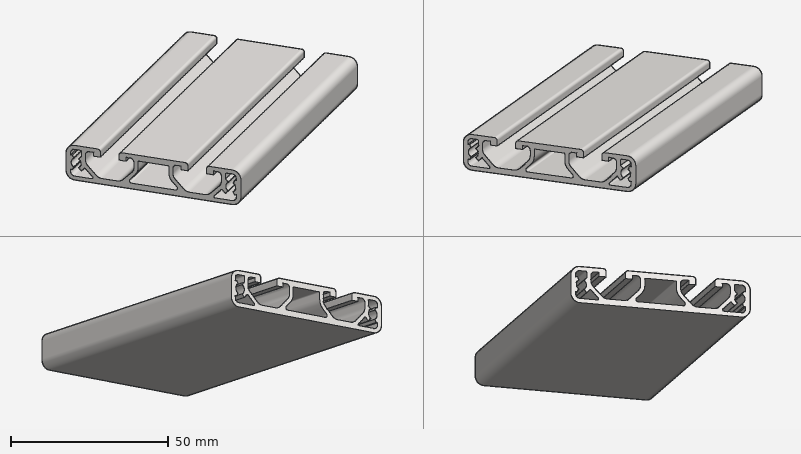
import cadquery as cq
import math

WIDTH = 60.0
LENGTH = 100.0
HEIGHT = 12.0
OUTER_RADIUS = 3.0

SKIN = 1.4
THICK_SKIN = 2.0
SIDE_WALL = 1.6

SLOT_CENTER = 15.0
SLOT_HALF_WIDTH = 8.3
SLOT_HALF_OPENING = 3.2
SLOT_HALF_FLOOR = 3.8
LIP_WIDTH = 2.4
LIP_HEIGHT = 2.7
LIP_RADIUS = 1.0
SLOT_ROOF_RADIUS = 1.3
SLOT_FLOOR_RADIUS = 3.0
SLOT_SIDE_RADIUS = 2.5

MIDDLE_TOE_RADIUS = 0.7
MIDDLE_SIDE_RADIUS = SLOT_SIDE_RADIUS + SKIN
MIDDLE_TOP_RADIUS = 0.3

PORT_X = 26.5
PORT_Z = HEIGHT / 2
PORT_RADIUS = 1.7
NECK_HALF_WIDTH = 0.8
OUTER_TOOTH_RUN = 0.5
CLAW_LENGTH = 1.0
CLAW_WIDTH = 0.9
NOTCH_STEP = 0.3
NOTCH_RADIUS = 0.2
CHAMBER_CORNER_RADIUS = OUTER_RADIUS - SIDE_WALL
CHAMBER_TOE_RADIUS = 0.4
CHAMBER_TOP_RADIUS = 0.5

ROOF_Z = HEIGHT - SKIN
SLOPE_RUN = SKIN * math.sqrt(2)


def profile_plane(x=0, z=0):
    """XZ sketch plane at the +Y end; extruding runs toward -Y."""
    return cq.Workplane("XZ", origin=(x, LENGTH / 2, z))


def prism(points):
    """Full-length prism over a polygon of (x, z) points."""
    return profile_plane().polyline(points).close().extrude(LENGTH)


def round_edges(body, corners):
    """Fillet the lengthwise edges at (x, z, radius) corners."""
    for x, z, radius in corners:
        body = body.edges(cq.selectors.NearestToPointSelector((x, 0, z))).fillet(radius)
    return body


def with_mirror(body):
    """The body together with its mirror image across the YZ plane."""
    return body.union(body.mirror("YZ"))


def outer_block():
    block = cq.Workplane("XY").box(WIDTH, LENGTH, HEIGHT, centered=(True, True, False))
    return block.edges("|Y").fillet(OUTER_RADIUS)


def slot():
    """Undercut slot at +X, symmetric about its own center plane."""
    lip_bottom = HEIGHT - LIP_HEIGHT
    lip_back = SLOT_HALF_OPENING + LIP_WIDTH
    flank_top = THICK_SKIN + SLOT_HALF_WIDTH - SLOT_HALF_FLOOR
    half = prism([
        (0, THICK_SKIN),
        (SLOT_HALF_FLOOR, THICK_SKIN),
        (SLOT_HALF_WIDTH, flank_top),
        (SLOT_HALF_WIDTH, ROOF_Z),
        (lip_back, ROOF_Z),
        (lip_back, lip_bottom),
        (SLOT_HALF_OPENING, lip_bottom),
        (SLOT_HALF_OPENING, HEIGHT),
        (0, HEIGHT),
    ])
    half = round_edges(half, [
        (SLOT_HALF_FLOOR, THICK_SKIN, SLOT_FLOOR_RADIUS),
        (SLOT_HALF_WIDTH, flank_top, SLOT_SIDE_RADIUS),
        (SLOT_HALF_WIDTH, ROOF_Z, SLOT_ROOF_RADIUS),
    ])
    return with_mirror(half).translate((SLOT_CENTER, 0, 0))


def round_lips(body):
    """Round the upper edge of every slot lip."""
    return round_edges(body, [
        (center + offset, HEIGHT, LIP_RADIUS)
        for center in (-SLOT_CENTER, SLOT_CENTER)
        for offset in (-SLOT_HALF_OPENING, SLOT_HALF_OPENING)
    ])


def middle_chamber():
    """Chamber between the slots, its sides parallel to the slot walls."""
    top_z = HEIGHT - THICK_SKIN
    toe_x = SLOT_CENTER - SLOT_HALF_FLOOR - SLOPE_RUN
    side_x = SLOT_CENTER - SLOT_HALF_WIDTH - SKIN
    shoulder_z = THICK_SKIN + toe_x - side_x
    half = prism([
        (0, THICK_SKIN),
        (toe_x, THICK_SKIN),
        (side_x, shoulder_z),
        (side_x, top_z),
        (0, top_z),
    ])
    half = round_edges(half, [
        (toe_x, THICK_SKIN, MIDDLE_TOE_RADIUS),
        (side_x, shoulder_z, MIDDLE_SIDE_RADIUS),
        (side_x, top_z, MIDDLE_TOP_RADIUS),
    ])
    return with_mirror(half)


def edge_chamber():
    """Upper and lower chamber joined through the screw port, at the +X edge."""
    outer_x = WIDTH / 2 - SIDE_WALL
    inner_x = SLOT_CENTER + SLOT_HALF_WIDTH + SKIN
    neck_rise = math.sqrt(PORT_RADIUS**2 - NECK_HALF_WIDTH**2)
    neck_outer = PORT_X + NECK_HALF_WIDTH
    neck_inner = PORT_X - NECK_HALF_WIDTH
    ledge_rise = neck_rise + neck_inner - inner_x

    upper = prism([
        (neck_outer, PORT_Z),
        (neck_outer, PORT_Z + neck_rise),
        (neck_outer + OUTER_TOOTH_RUN, PORT_Z + ledge_rise),
        (outer_x, PORT_Z + ledge_rise),
        (outer_x, ROOF_Z),
        (inner_x, ROOF_Z),
        (inner_x, PORT_Z + ledge_rise),
        (neck_inner, PORT_Z + neck_rise),
        (neck_inner, PORT_Z),
    ])
    upper = round_edges(upper, [
        (outer_x, ROOF_Z, CHAMBER_CORNER_RADIUS),
        (inner_x, ROOF_Z, CHAMBER_TOP_RADIUS),
    ])

    slope_foot = SLOT_CENTER + SLOT_HALF_FLOOR + SLOPE_RUN
    toe_x = slope_foot - (THICK_SKIN - SKIN)
    claw_tip_x = neck_inner - CLAW_LENGTH
    claw_tip_z = PORT_Z - neck_rise - CLAW_LENGTH
    claw_root_x = claw_tip_x - CLAW_WIDTH
    claw_root_z = claw_tip_z + CLAW_WIDTH
    notch_x = claw_root_x - NOTCH_STEP
    notch_z = THICK_SKIN + notch_x - slope_foot
    lower = prism([
        (neck_outer, PORT_Z),
        (neck_outer, PORT_Z - neck_rise),
        (neck_outer + OUTER_TOOTH_RUN, PORT_Z - ledge_rise),
        (outer_x, PORT_Z - ledge_rise),
        (outer_x, SKIN),
        (toe_x, SKIN),
        (notch_x, notch_z),
        (claw_root_x, claw_root_z),
        (claw_tip_x, claw_tip_z),
        (neck_inner, PORT_Z - neck_rise),
        (neck_inner, PORT_Z),
    ])
    lower = round_edges(lower, [
        (outer_x, SKIN, CHAMBER_CORNER_RADIUS),
        (toe_x, SKIN, CHAMBER_TOE_RADIUS),
        (notch_x, notch_z, NOTCH_RADIUS),
    ])

    port = profile_plane(PORT_X, PORT_Z).circle(PORT_RADIUS).extrude(LENGTH)
    return upper.union(lower).union(port)


result = outer_block().cut(with_mirror(slot()))
result = round_lips(result)
result = result.cut(middle_chamber())
result = result.cut(with_mirror(edge_chamber()))